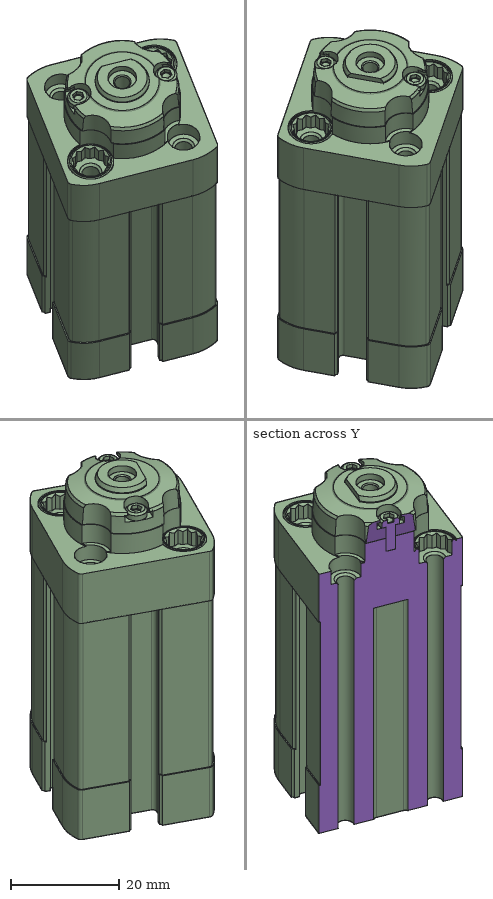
import cadquery as cq
import math

CAP_SIZE = 29.0
CAP_LENGTH = 11.0
HOUSING_LENGTH = 59.0
BARREL_INSET = 0.25
FLANK_HALF = 9.05
CORNER_RADIUS = 9.5
CORNER_ROUND = 0.9

BARREL_TOP = HOUSING_LENGTH - CAP_LENGTH

SLOT_MOUTH = 5.5
SLOT_LIP_ROUND = 0.45
SLOT_LIP_DEPTH = 1.45
SLOT_CHAMBER = 7.1
SLOT_DEPTH = 5.5
SLOT_CORNER = 0.8

BOSS_DIAMETER = 21.6
BOSS_TOP = 63.3

MOUNT_OFFSET = 9.0
THREAD_CORE = 3.24
THREAD_MOUTH = 4.13
RECESS_DIAMETER = 6.0
RECESS_DEPTH = 3.0
BOSS_SCALLOP_DIAMETER = 7.6
SCALLOP_FLOOR = HOUSING_LENGTH + 0.25
SOCKET_CLEARANCE = 8.5
SOCKET_LAND = 7.8
SOCKET_GROOVE_DEPTH = 0.4
SOCKET_MOUTH = 7.3
SOCKET_FLATS = 6.0
SOCKET_DEPTH = 3.4

PLAIN_CORNERS = [(-MOUNT_OFFSET, -MOUNT_OFFSET), (MOUNT_OFFSET, MOUNT_OFFSET)]
SOCKET_CORNERS = [(-MOUNT_OFFSET, MOUNT_OFFSET), (MOUNT_OFFSET, -MOUNT_OFFSET)]

COVER_BASE_RADIUS = 10.65
COVER_TOP_RADIUS = 10.45
COVER_WALL_TOP = 67.0
COVER_BEVEL_RADIUS = 10.1
COVER_BEVEL_TOP = 67.6
COVER_SCALLOP_DIAMETER = 7.8
COVER_SLOPE_RADIUS = 7.0
COVER_SLOPE_TOP = 68.3
COVER_FACE_RADIUS = 6.8
COVER_TOP = 68.4

SCREW_OFFSET = 8.5
HEAD_DIAMETER = 4.0
HEAD_TOP = 67.3
HEAD_CHAMFER = 0.4
SEAT_FLOOR = 65.8
SEAT_DIAMETER = 4.6
SEAT_MOUTH = 4.2
SEAT_UNDERCUT = 5.4
SEAT_UNDERCUT_TOP = 67.1
SHANK_DIAMETER = 2.46
SHANK_END = 60.3
KEY_CORNERS = 2.15
KEY_DEPTH = 0.8
KEY_TIP_DIAMETER = 1.57

ROD_DIAMETER = 10.0
ROD_FLAT_X = -3.65
ROD_TOP = 69.5
ROD_TIP_DIAMETER = 9.2
ROD_CHAMFER_START = 68.6
ROD_END = CAP_LENGTH
ROD_RECESS_DIAMETER = 5.24
ROD_RECESS_DEPTH = 1.3
ROD_CORE = 2.8
ROD_CORE_DEPTH = 8.0

DRILL_HALF_ANGLE = math.radians(59)


def cylinder(diameter, bottom, top, x=0.0, y=0.0):
    """Upright cylinder between two heights."""
    return (
        cq.Workplane("XY", origin=(x, y, bottom))
        .circle(diameter / 2)
        .extrude(top - bottom)
    )


def cone(bottom_diameter, top_diameter, bottom, top, x=0.0, y=0.0):
    """Upright cone frustum; a zero bottom diameter gives a point."""
    solid = cq.Solid.makeCone(
        bottom_diameter / 2, top_diameter / 2, top - bottom, cq.Vector(x, y, bottom)
    )
    return cq.Workplane(solid)


def drill_tip(diameter, top, x=0.0, y=0.0):
    """Conical bottom of a drilled hole."""
    length = diameter / 2 / math.tan(DRILL_HALF_ANGLE)
    return cone(0.0, diameter, top - length, top, x, y)


def rod_section(bottom, top):
    """D-shaped rod section, with its flat on the -X side."""
    radius = ROD_DIAMETER / 2
    flat_end = math.sqrt(radius**2 - ROD_FLAT_X**2)
    return (
        cq.Workplane("XY", origin=(0, 0, bottom))
        .moveTo(ROD_FLAT_X, -flat_end)
        .threePointArc((radius, 0), (ROD_FLAT_X, flat_end))
        .close()
        .extrude(top - bottom)
    )


def profile(inset, bottom, top):
    """Housing outline, set inward by the given amount, as a prism."""
    half = CAP_SIZE / 2 - inset
    radius = CORNER_RADIUS - inset
    corner_x = half - radius + math.sqrt(radius**2 - (half - FLANK_HALF) ** 2)
    middle_angle = math.asin((half - FLANK_HALF) / radius) / 2
    middle_x = half - radius + radius * math.cos(middle_angle)
    middle_y = FLANK_HALF + radius * math.sin(middle_angle)
    outline = (
        cq.Workplane("XY", origin=(0, 0, bottom))
        .moveTo(half, -FLANK_HALF)
        .lineTo(half, FLANK_HALF)
        .threePointArc((middle_x, middle_y), (corner_x, half))
        .lineTo(-corner_x, half)
        .threePointArc((-middle_x, middle_y), (-half, FLANK_HALF))
        .lineTo(-half, -FLANK_HALF)
        .threePointArc((-middle_x, -middle_y), (-corner_x, -half))
        .lineTo(corner_x, -half)
        .threePointArc((middle_x, -middle_y), (half, -FLANK_HALF))
        .close()
    )
    prism = outline.extrude(top - bottom)
    reach = CORNER_ROUND / 2
    for side_x in (-1, 1):
        for side_y in (-1, 1):
            x = side_x * corner_x
            y = side_y * half
            around = cq.selectors.BoxSelector(
                (x - reach, y - reach, bottom), (x + reach, y + reach, top)
            )
            prism = prism.edges("|Z").edges(around).fillet(CORNER_ROUND)
    return prism


def sensor_slots(inset, bottom, top):
    """Cutters for the four T slots of a profile with the given inset."""
    surface = CAP_SIZE / 2 - inset
    lip_end = CAP_SIZE / 2 - SLOT_LIP_DEPTH
    floor = CAP_SIZE / 2 - SLOT_DEPTH
    mouth = SLOT_MOUTH / 2
    flare = mouth + SLOT_LIP_ROUND
    chamber = SLOT_CHAMBER / 2
    outline = (
        cq.Workplane("XY", origin=(0, 0, bottom))
        .moveTo(surface, 0)
        .lineTo(surface, flare)
        .radiusArc((surface - SLOT_LIP_ROUND, mouth), -SLOT_LIP_ROUND)
        .lineTo(lip_end, mouth)
        .lineTo(lip_end, chamber)
        .lineTo(floor + SLOT_CORNER, chamber)
        .radiusArc((floor, chamber - SLOT_CORNER), -SLOT_CORNER)
        .lineTo(floor, 0)
        .close()
    )
    half_slot = outline.extrude(top - bottom)
    slot = half_slot.union(half_slot.mirror("XZ"))
    return [slot.rotate((0, 0, 0), (0, 0, 1), quarter * 90) for quarter in range(4)]


def slotted_profile(inset, bottom, top):
    prism = profile(inset, bottom, top)
    for slot in sensor_slots(inset, bottom, top):
        prism = prism.cut(slot)
    return prism


def thread_hole(x, y, mouth_height):
    """Through hole with a countersunk mouth at the given height."""
    countersink = (THREAD_MOUTH - THREAD_CORE) / 2
    hole = cylinder(THREAD_CORE, 0, mouth_height, x, y)
    return hole.union(cone(THREAD_CORE, THREAD_MOUTH, mouth_height - countersink, mouth_height, x, y))


def plain_corner(x, y):
    """Cutter for a corner with a plain recess and a scalloped boss."""
    floor = HOUSING_LENGTH - RECESS_DEPTH
    cutter = cylinder(RECESS_DIAMETER, floor, BOSS_TOP, x, y)
    cutter = cutter.union(cylinder(BOSS_SCALLOP_DIAMETER, SCALLOP_FLOOR, BOSS_TOP, x, y))
    return cutter.union(thread_hole(x, y, floor))


def socket_corner(x, y):
    """Cutter for a corner with a twelve-point socket inside a V groove."""
    floor = HOUSING_LENGTH - SOCKET_DEPTH
    hexagon_corners = SOCKET_FLATS / math.cos(math.radians(30))
    cutter = cylinder(SOCKET_CLEARANCE, HOUSING_LENGTH, BOSS_TOP, x, y)
    groove = cylinder(SOCKET_CLEARANCE, HOUSING_LENGTH - SOCKET_GROOVE_DEPTH, HOUSING_LENGTH, x, y)
    rim = cone(
        SOCKET_CLEARANCE, SOCKET_LAND, HOUSING_LENGTH - SOCKET_GROOVE_DEPTH, HOUSING_LENGTH, x, y
    )
    cutter = cutter.union(groove.cut(rim))
    for turn in (0, 30):
        hexagon = (
            cq.Workplane("XY", origin=(x, y, floor))
            .transformed(rotate=(0, 0, turn))
            .polygon(6, hexagon_corners)
            .extrude(SOCKET_DEPTH)
        )
        cutter = cutter.union(hexagon)
    lead_in = (SOCKET_MOUTH - SOCKET_FLATS) / 2
    cutter = cutter.union(
        cone(SOCKET_FLATS, SOCKET_MOUTH, HOUSING_LENGTH - lead_in, HOUSING_LENGTH, x, y)
    )
    return cutter.union(thread_hole(x, y, floor))


def make_housing():
    body = slotted_profile(0, 0, CAP_LENGTH)
    body = body.union(slotted_profile(BARREL_INSET, CAP_LENGTH, BARREL_TOP))
    body = body.union(profile(0, BARREL_TOP, HOUSING_LENGTH))
    body = body.union(cylinder(BOSS_DIAMETER, HOUSING_LENGTH, BOSS_TOP))
    for x, y in PLAIN_CORNERS:
        body = body.cut(plain_corner(x, y))
    for x, y in SOCKET_CORNERS:
        body = body.cut(socket_corner(x, y))
    body = body.cut(rod_section(ROD_END, BOSS_TOP))
    for side in (-1, 1):
        body = body.cut(cylinder(SHANK_DIAMETER, SHANK_END, BOSS_TOP, 0, side * SCREW_OFFSET))
    return body


def rim_opening(width, bottom, top, side):
    """Straight channel from a screw axis outward through the cover rim."""
    reach = BOSS_DIAMETER / 2
    channel = cq.Workplane("XY", origin=(0, side * (SCREW_OFFSET + reach) / 2, bottom))
    return channel.rect(width, reach - SCREW_OFFSET).extrude(top - bottom)


def make_cover():
    cover = (
        cq.Workplane("XZ")
        .moveTo(0, BOSS_TOP)
        .lineTo(COVER_BASE_RADIUS, BOSS_TOP)
        .lineTo(COVER_TOP_RADIUS, COVER_WALL_TOP)
        .lineTo(COVER_BEVEL_RADIUS, COVER_BEVEL_TOP)
        .lineTo(COVER_SLOPE_RADIUS, COVER_SLOPE_TOP)
        .lineTo(COVER_FACE_RADIUS, COVER_TOP)
        .lineTo(0, COVER_TOP)
        .close()
        .revolve(360, (0, 0), (0, 1))
    )
    cover = cover.cut(rod_section(BOSS_TOP, COVER_TOP))
    for x, y in PLAIN_CORNERS + SOCKET_CORNERS:
        cover = cover.cut(cylinder(COVER_SCALLOP_DIAMETER, BOSS_TOP, COVER_TOP, x, y))
    for side in (-1, 1):
        y = side * SCREW_OFFSET
        cover = cover.cut(cylinder(SEAT_DIAMETER, SEAT_FLOOR, COVER_TOP, 0, y))
        cover = cover.cut(rim_opening(SEAT_MOUTH, SEAT_FLOOR, COVER_TOP, side))
        cover = cover.cut(rim_opening(SEAT_UNDERCUT, SEAT_FLOOR, SEAT_UNDERCUT_TOP, side))
        cover = cover.cut(cylinder(SHANK_DIAMETER, BOSS_TOP, SEAT_FLOOR, 0, y))
    return cover


def make_cover_screw(side):
    y = side * SCREW_OFFSET
    key_floor = HEAD_TOP - KEY_DEPTH
    head = cylinder(HEAD_DIAMETER, SEAT_FLOOR, HEAD_TOP, 0, y).faces(">Z").chamfer(HEAD_CHAMFER)
    key = cq.Workplane("XY", origin=(0, y, key_floor)).polygon(6, KEY_CORNERS).extrude(KEY_DEPTH)
    shank = cylinder(SHANK_DIAMETER, SHANK_END, SEAT_FLOOR, 0, y)
    return head.union(shank).cut(key).cut(drill_tip(KEY_TIP_DIAMETER, key_floor, 0, y))


def make_rod():
    rod = rod_section(ROD_END, ROD_CHAMFER_START)
    tip = cone(ROD_DIAMETER, ROD_TIP_DIAMETER, ROD_CHAMFER_START, ROD_TOP)
    rod = rod.union(tip.intersect(rod_section(ROD_CHAMFER_START, ROD_TOP)))

    recess_floor = ROD_TOP - ROD_RECESS_DEPTH
    core_floor = recess_floor - ROD_CORE_DEPTH
    countersink = (THREAD_CORE - ROD_CORE) / 2
    rod = rod.cut(cylinder(ROD_RECESS_DIAMETER, recess_floor, ROD_TOP))
    rod = rod.cut(cylinder(ROD_CORE, core_floor, recess_floor))
    rod = rod.cut(cone(ROD_CORE, THREAD_CORE, recess_floor - countersink, recess_floor))
    return rod.cut(drill_tip(ROD_CORE, core_floor))


housing = make_housing()
cover = make_cover()
cover_screws = [make_cover_screw(side) for side in (-1, 1)]
rod = make_rod()

result = cq.Compound.makeCompound(
    [housing.val(), cover.val(), rod.val(), *[screw.val() for screw in cover_screws]]
)